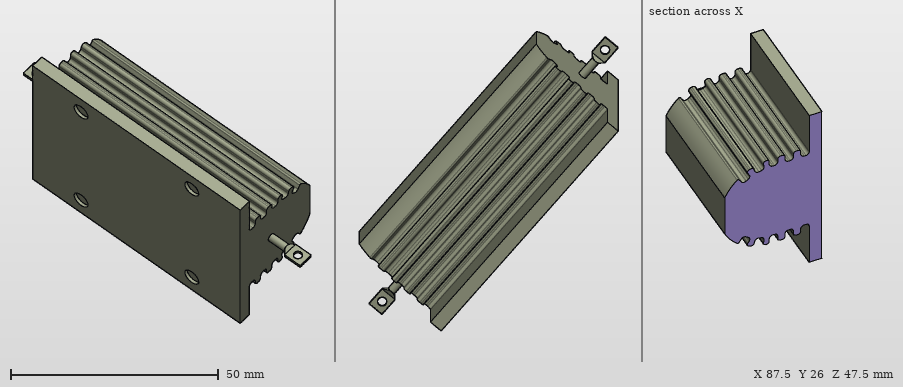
import cadquery as cq
import math

total_length = 87.5
body_length = 65.6
body_depth = 26.0
plate_height = 47.5
plate_thickness = 3.4

envelope_radius = 13.65
envelope_center_y = 13.65
floor_radius = 11.2

groove_width = 2.2
groove_pitch = 4.2
straight_groove_count = 3
radial_groove_width = 2.45
radial_groove_angles = (14.6, 34.4)
groove_tool_depth = 2 * (envelope_radius - floor_radius)
groove_rounding = 0.9
fin_rounding = 0.8
last_tip_rounding = 0.35

hole_diameter = 4.4
hole_spacing_x = 35.0
hole_spacing_z = 36.9
hole_depth = 0.9

terminal_y = 11.5
rod_diameter = 2.1
tab_length = 4.9
tab_width = 4.1
tab_thickness = 0.8
tab_hole_diameter = 2.2
neck_length = 1.05
rod_length = (total_length - body_length) / 2 - tab_length - neck_length

tolerance = 0.001


def make_blank():
    """Mounting plate and the solid fin envelope, before grooving."""
    plate = cq.Workplane("XY").box(body_length, plate_thickness, plate_height, centered=(True, False, True))
    flat_part = cq.Workplane("XY").box(
        body_length, envelope_center_y, 2 * envelope_radius, centered=(True, False, True)
    )
    round_part = (
        cq.Workplane("YZ", origin=(-body_length / 2, 0, 0))
        .center(envelope_center_y, 0)
        .circle(envelope_radius)
        .extrude(body_length)
    )
    depth_limit = cq.Workplane("XY").box(body_length, body_depth, plate_height, centered=(True, False, True))
    return plate.union(flat_part).union(round_part).intersect(depth_limit)


def make_groove(center_y, width, angle):
    """Upper groove cutter, leaning toward +Y by angle about the envelope axis."""
    cutter = cq.Workplane("XY").box(
        body_length, width, groove_tool_depth, centered=(True, True, False)
    )
    cutter = cutter.edges("|X and <Z").fillet(groove_rounding)
    cutter = cutter.translate((0, center_y, floor_radius))
    axis_start = (0, envelope_center_y, 0)
    axis_end = (-1, envelope_center_y, 0)
    return cutter.rotate(axis_start, axis_end, angle)


def is_groove_mouth(edge):
    """True for the sharp edges where a groove wall meets the fin envelope."""
    center = edge.Center()
    y_past_axis = center.y - envelope_center_y
    envelope_distance = math.hypot(max(y_past_axis, 0), center.z)
    on_envelope = math.isclose(envelope_distance, envelope_radius, abs_tol=tolerance)
    on_back_face = math.isclose(center.y, body_depth, abs_tol=tolerance)
    return on_envelope and not on_back_face


def is_last_tip(edge):
    """True for the groove-mouth edges of the last groove on its curved-back side."""
    center = edge.Center()
    lean = math.degrees(math.atan2(center.y - envelope_center_y, abs(center.z)))
    return is_groove_mouth(edge) and lean > radial_groove_angles[-1]


def is_fin_tip(edge):
    """True for the groove-mouth edges of the fins proper."""
    return is_groove_mouth(edge) and not is_last_tip(edge)


def make_housing():
    """Grooved housing with rounded fin tips, alike above and below."""
    housing = make_blank()
    first_groove_y = plate_thickness + groove_width / 2
    straight = [(first_groove_y + i * groove_pitch, groove_width, 0) for i in range(straight_groove_count)]
    radial = [(envelope_center_y, radial_groove_width, angle) for angle in radial_groove_angles]
    for center_y, width, angle in straight + radial:
        groove = make_groove(center_y, width, angle)
        housing = housing.cut(groove).cut(groove.mirror("XY"))
    housing = housing.edges("|X").filter(is_fin_tip).fillet(fin_rounding)
    return housing.edges("|X").filter(is_last_tip).fillet(last_tip_rounding)


def make_mounting_holes():
    """Cutters for the four shallow holes in the mounting face."""
    return (
        cq.Workplane("XZ")
        .rect(hole_spacing_x, hole_spacing_z, forConstruction=True)
        .vertices()
        .circle(hole_diameter / 2)
        .extrude(-hole_depth)
    )


def make_neck(start_x):
    """Cone flaring from the rod to the tab width, flattened by a wedge to the tab thickness."""
    end_x = start_x + neck_length
    cone = (
        cq.Workplane("YZ", origin=(start_x, terminal_y, 0))
        .circle(rod_diameter / 2)
        .workplane(offset=neck_length)
        .circle(tab_width / 2)
        .loft(ruled=True)
    )
    wedge = (
        cq.Workplane("XZ", origin=(0, terminal_y, 0))
        .moveTo(start_x, rod_diameter / 2)
        .lineTo(end_x, tab_thickness / 2)
        .lineTo(end_x, -tab_thickness / 2)
        .lineTo(start_x, -rod_diameter / 2)
        .close()
        .extrude(tab_width, both=True)
    )
    return cone.intersect(wedge)


def make_terminal():
    """Terminal on the +X end: rod, neck and drilled flat tab."""
    neck_start = body_length / 2 + rod_length
    rod = (
        cq.Workplane("YZ", origin=(body_length / 2, terminal_y, 0))
        .circle(rod_diameter / 2)
        .extrude(rod_length)
    )
    neck = make_neck(neck_start)
    tab = (
        cq.Workplane("YZ", origin=(neck_start + neck_length, terminal_y, 0))
        .rect(tab_width, tab_thickness)
        .extrude(tab_length)
    )
    tab_hole = (
        cq.Workplane("XY", origin=((total_length - tab_length) / 2, terminal_y, 0))
        .circle(tab_hole_diameter / 2)
        .extrude(tab_thickness, both=True)
    )
    return rod.union(neck).union(tab).cut(tab_hole)


terminal = make_terminal()
result = make_housing().cut(make_mounting_holes()).union(terminal).union(terminal.mirror("YZ"))